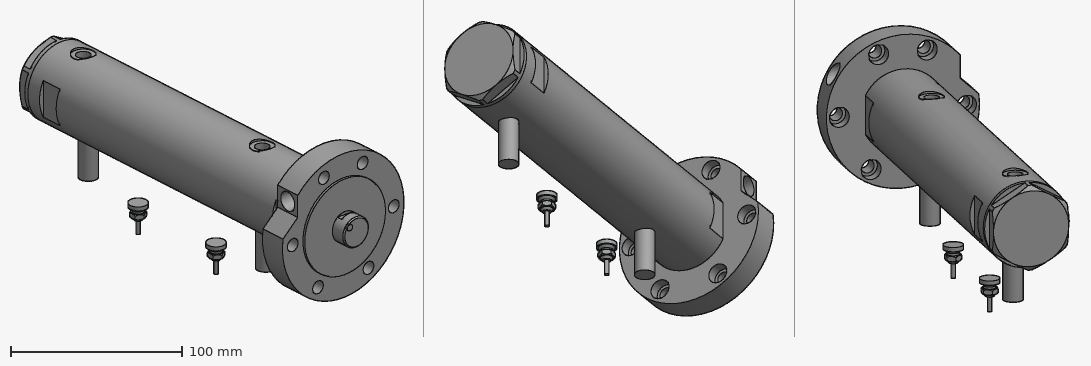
import cadquery as cq
import math


BARREL_DIAMETER = 51.9
BORE_DIAMETER = 40.3
FLATS_WIDTH = 46.0
WRENCH_FLAT_START = 21.0
WRENCH_FLAT_END = 36.0
NECK_FLAT_START = 228.5

FLANGE_DIAMETER = 93.8
FLANGE_START = 244.0
FLANGE_END = 261.8
PILOT_DIAMETER = 62.3
PILOT_LENGTH = 1.6
BOLT_CIRCLE_DIAMETER = 78.0
BOLT_ANGLES = (0, 67.5, 112.5, 180, 240, 300)
BOLT_HOLE_DIAMETER = 8.2
BOLT_RECESS_DIAMETER = 12.0
BOLT_RECESS_DEPTH = 7.0
NOTCH_Y = -35.0
NOTCH_FLOOR_Z = 16.7
NOTCH_RIM_Z = 6.3
CROSS_HOLE_DIAMETER = 12.3
CROSS_HOLE_Z = 24.0

PORT_POSITIONS = (30.2, 189.5)
PORT_DIAMETER = 9.0
PORT_FACE_DIAMETER = 15.0
PORT_FACE_DEPTH = 1.5

HEXAGON_LENGTH = 8.0
CAP_LENGTH = 10.7
HEXAGON_CHAMFER_LENGTH = 2.2
SPIGOT_DIAMETER = 28.0
SPIGOT_END = 45.0

ROD_DIAMETER = 25.2
PISTON_START = 191.8
TIP_DIAMETER = 19.8
TIP_END = 273.5
TIP_CHAMFER = 0.8
TIP_FLATS_WIDTH = 16.0
TIP_FLATS_END = 267.0
STUD_DIAMETER = 4.0
STUD_Y = -5.8
STUD_Z = 5.2
TOTAL_LENGTH = 274.5

PIN_POSITIONS = (34.5, 192.5)
PIN_DIAMETER = 12.0
PIN_BOTTOM_Z = -53.2
PIN_SEAT_DEPTH = 3.3

PLUG_POSITIONS = (79.0, 148.5)
PLUG_TOP_Z = PIN_BOTTOM_Z
PLUG_HEAD_DIAMETER = PIN_DIAMETER
PLUG_HEAD_HEIGHT = 2.7
PLUG_UNDERCUT_DIAMETER = 10.2
PLUG_NECK_DIAMETER = 7.5
PLUG_NECK_START = 4.5
PLUG_NUT_START = 5.8
PLUG_NUT_END = 9.3
PLUG_NUT_FLATS = 9.0
PLUG_NUT_CHAMFER = 0.8
PLUG_CONE_END = 11.0
PLUG_CONE_TIP_DIAMETER = 5.2
PLUG_STEM_DIAMETER = 2.7
PLUG_LENGTH = 20.3

FLATS_PER_CORNERS = math.cos(math.radians(30))

barrel_radius = BARREL_DIAMETER / 2
flange_radius = FLANGE_DIAMETER / 2


def bar_x(diameter, start, end, y=0, z=0):
    """Round bar along X."""
    return cq.Workplane("YZ", origin=(start, y, z)).circle(diameter / 2).extrude(end - start)


def bar_z(diameter, bottom, top, x):
    """Round bar along Z."""
    return cq.Workplane("XY", origin=(x, 0, bottom)).circle(diameter / 2).extrude(top - bottom)


def outside_flats(width, start, end):
    """Two blocks that leave a pair of flats facing -Y and +Y when cut away."""
    depth = BARREL_DIAMETER - width
    blocks = cq.Workplane("XY")
    for side in (-1, 1):
        block = cq.Workplane("XY").box(end - start, depth, BARREL_DIAMETER)
        blocks = blocks.add(block.translate(((start + end) / 2, side * (width + depth) / 2, 0)))
    return blocks.combine()


def make_flange():
    flange = bar_x(FLANGE_DIAMETER, FLANGE_START, FLANGE_END)
    flange = flange.union(bar_x(PILOT_DIAMETER, FLANGE_END, FLANGE_END + PILOT_LENGTH))

    for angle in BOLT_ANGLES:
        y = BOLT_CIRCLE_DIAMETER / 2 * math.cos(math.radians(angle))
        z = BOLT_CIRCLE_DIAMETER / 2 * math.sin(math.radians(angle))
        flange = flange.cut(bar_x(BOLT_HOLE_DIAMETER, FLANGE_START, FLANGE_END, y, z))
        recess_end = FLANGE_START + BOLT_RECESS_DEPTH
        flange = flange.cut(bar_x(BOLT_RECESS_DIAMETER, FLANGE_START, recess_end, y, z))

    rim_y = -math.sqrt(flange_radius**2 - NOTCH_RIM_Z**2)
    notch = (
        cq.Workplane("YZ", origin=(FLANGE_START, 0, 0))
        .moveTo(NOTCH_Y, flange_radius)
        .lineTo(NOTCH_Y, NOTCH_FLOOR_Z)
        .lineTo(rim_y, NOTCH_RIM_Z)
        .lineTo(-FLANGE_DIAMETER, NOTCH_RIM_Z)
        .lineTo(-FLANGE_DIAMETER, flange_radius)
        .close()
        .extrude(FLANGE_END - FLANGE_START)
    )
    flange = flange.cut(notch)

    cross_hole = (
        cq.Workplane("XZ", origin=((FLANGE_START + FLANGE_END) / 2, flange_radius, CROSS_HOLE_Z))
        .circle(CROSS_HOLE_DIAMETER / 2)
        .extrude(FLANGE_DIAMETER)
    )
    return flange.cut(cross_hole)


def make_housing():
    barrel = bar_x(BARREL_DIAMETER, CAP_LENGTH, FLANGE_START)
    barrel = barrel.cut(outside_flats(FLATS_WIDTH, WRENCH_FLAT_START, WRENCH_FLAT_END))
    barrel = barrel.cut(outside_flats(FLATS_WIDTH, NECK_FLAT_START, FLANGE_START))
    housing = barrel.union(make_flange())

    bore_end = FLANGE_END + PILOT_LENGTH
    housing = housing.cut(bar_x(BORE_DIAMETER, CAP_LENGTH, FLANGE_END))
    housing = housing.cut(bar_x(TIP_DIAMETER, FLANGE_END, bore_end))

    for x in PORT_POSITIONS:
        port_face_z = barrel_radius - PORT_FACE_DEPTH
        housing = housing.cut(bar_z(PORT_DIAMETER, 0, barrel_radius, x))
        housing = housing.cut(bar_z(PORT_FACE_DIAMETER, port_face_z, barrel_radius, x))
    for x in PIN_POSITIONS:
        housing = housing.cut(bar_z(PIN_DIAMETER, -barrel_radius, PIN_SEAT_DEPTH - barrel_radius, x))
    return housing


def make_cap():
    hexagon = (
        cq.Workplane("YZ")
        .polygon(6, FLATS_WIDTH / FLATS_PER_CORNERS)
        .extrude(HEXAGON_LENGTH)
        .rotate((0, 0, 0), (1, 0, 0), 90)
    )
    chamfer_depth = (BARREL_DIAMETER - FLATS_WIDTH) / 2
    envelope = bar_x(BARREL_DIAMETER, 0, HEXAGON_LENGTH)
    envelope = envelope.faces("<X").chamfer(HEXAGON_CHAMFER_LENGTH, chamfer_depth)
    collar = bar_x(BARREL_DIAMETER, HEXAGON_LENGTH, CAP_LENGTH)
    spigot = bar_x(SPIGOT_DIAMETER, CAP_LENGTH, SPIGOT_END)
    return hexagon.intersect(envelope).union(collar).union(spigot)


def make_shaft():
    rod = bar_x(ROD_DIAMETER, SPIGOT_END, PISTON_START)
    piston = bar_x(BORE_DIAMETER, PISTON_START, FLANGE_END)
    tip = bar_x(TIP_DIAMETER, FLANGE_END, TIP_END).faces(">X").chamfer(TIP_CHAMFER)
    pilot_end = FLANGE_END + PILOT_LENGTH
    for side in (-1, 1):
        block = cq.Workplane("XY").box(TIP_FLATS_END - pilot_end, TIP_DIAMETER, TIP_DIAMETER)
        z = side * (TIP_FLATS_WIDTH + TIP_DIAMETER) / 2
        tip = tip.cut(block.translate(((pilot_end + TIP_FLATS_END) / 2, 0, z)))
    stud = bar_x(STUD_DIAMETER, TIP_END - TIP_CHAMFER, TOTAL_LENGTH, STUD_Y, STUD_Z)
    return rod.union(piston).union(tip).union(stud)


def make_pin(x):
    return bar_z(PIN_DIAMETER, PIN_BOTTOM_Z, PIN_SEAT_DEPTH - barrel_radius, x)


def make_plug(x):
    profile = [
        (0, 0),
        (PLUG_HEAD_DIAMETER / 2, 0),
        (PLUG_HEAD_DIAMETER / 2, -PLUG_HEAD_HEIGHT),
        (PLUG_UNDERCUT_DIAMETER / 2, -PLUG_HEAD_HEIGHT),
        (PLUG_NECK_DIAMETER / 2, -PLUG_NECK_START),
        (PLUG_NECK_DIAMETER / 2, -PLUG_NUT_END),
        (PLUG_CONE_TIP_DIAMETER / 2, -PLUG_CONE_END),
        (PLUG_STEM_DIAMETER / 2, -PLUG_CONE_END),
        (PLUG_STEM_DIAMETER / 2, -PLUG_LENGTH),
        (0, -PLUG_LENGTH),
    ]
    turned = cq.Workplane("XZ").polyline(profile).close().revolve(360, (0, 0), (0, 1))

    nut_height = PLUG_NUT_END - PLUG_NUT_START
    corner_radius = PLUG_NUT_FLATS / FLATS_PER_CORNERS / 2
    nut = cq.Workplane("XY").polygon(6, 2 * corner_radius).extrude(nut_height)
    envelope = cq.Workplane("XY").circle(corner_radius).extrude(nut_height)
    envelope = envelope.faces("<Z or >Z").chamfer(PLUG_NUT_CHAMFER)
    nut = nut.intersect(envelope).translate((0, 0, -PLUG_NUT_END))
    return turned.union(nut).translate((x, 0, PLUG_TOP_Z))


housing = make_housing()
cap = make_cap()
shaft = make_shaft()
pins = [make_pin(x) for x in PIN_POSITIONS]
plugs = [make_plug(x) for x in PLUG_POSITIONS]

bodies = [housing, cap, shaft, *pins, *plugs]
result = cq.Compound.makeCompound([body.val() for body in bodies])